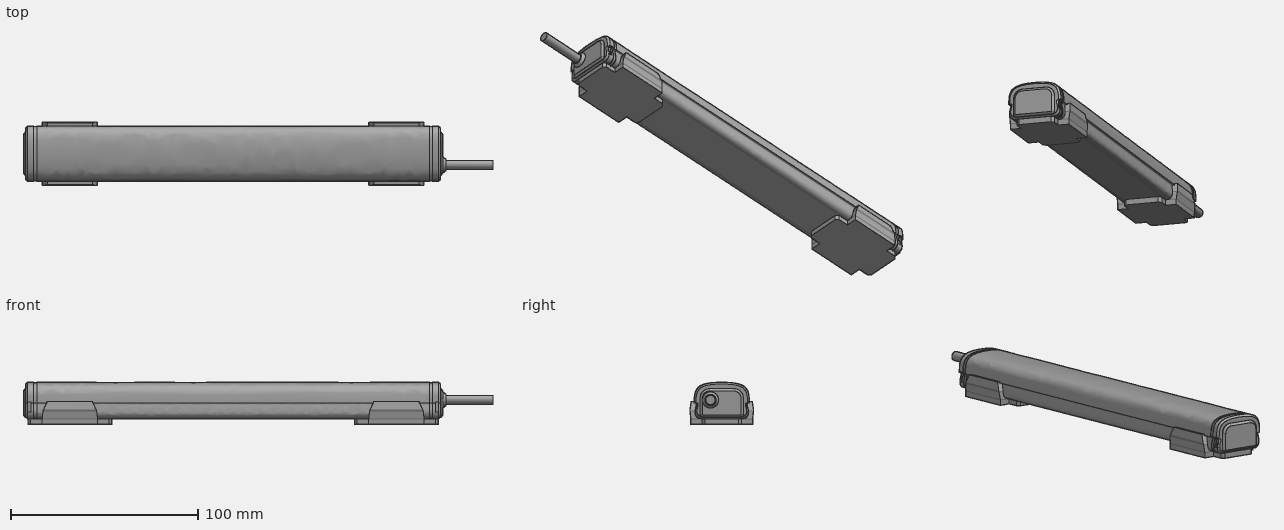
import cadquery as cq

CAP_LEFT_FACE = 1.3
CAP_RIGHT_FACE = 222.8
CAP_LENGTH = 4.3
SEAM_WIDTH = 1.8
SEAM_DEPTH = 0.3
CAP_CHAMFER = 1.0

LAMP_TOP = 22.5
LAMP_BOTTOM = 3.0
COVER_HALF_WIDTH = 14.8
COVER_BOTTOM = 11.5
SIDE_PULL_Z = 24.8
CROWN_PULL_Y = 11.0
SOLE_HALF_WIDTH = 11.0
CORNER_PULL_Y = 15.0
BULGE_PULL_Y = 16.0
BULGE_PULL_Z = 8.3
WAIST_PULL_Y = 11.3
WAIST_PULL_Z = 11.3

POCKET_LENGTH = 1.8
POCKET_BOTTOM = 6.5
POCKET_TOP = 12.0
POCKET_FLOOR_HALF_WIDTH = 13.3

PANEL_HEIGHT = 1.3
PANEL_HALF_WIDTH = 11.5
PANEL_TOP = 19.0
PANEL_BOTTOM = 3.8
PANEL_TOP_RADIUS = 5.0
PANEL_BOTTOM_RADIUS = 1.5
PANEL_BEVEL_WIDTH = 1.3
PANEL_BEVEL_DEPTH = 1.0

CABLE_END = 251.0
CABLE_Y = -6.0
CABLE_Z = 13.0
CABLE_RADIUS = 2.5
GLAND_LENGTH = 3.0
GLAND_BASE_RADIUS = 5.3
GLAND_TIP_RADIUS = 3.0

CLIP_CENTERS = (24.8, 199.2)
FOOT_LENGTH = 45.0
FOOT_HALF_WIDTH = 10.5
FOOT_CHAMFER = 1.5
CLIP_LENGTH = 29.5
CLIP_HALF_WIDTH = 16.5
RIDGE_HALF_WIDTH = 17.0
RIDGE_Z = 7.3
RIDGE_HEIGHT = 0.5
JAW_TOP_HALF_WIDTH = 16.3
JAW_TOP = 12.3
JAW_TOP_LENGTH = 24.0
RIDGE_LENGTH = 28.5


def lamp_outline(start_x, inset=0.0):
    """Closed lamp cross-section on the plane x = start_x.

    Its top, sides and underside are moved in by inset.
    """

    def mirrored(points):
        return [(-y, z) for y, z in reversed(points)]

    top = LAMP_TOP - inset
    bottom = LAMP_BOTTOM + inset
    lip = (COVER_HALF_WIDTH - inset, COVER_BOTTOM)
    sole_end = (SOLE_HALF_WIDTH - inset, bottom)

    base_side = [
        sole_end,
        (CORNER_PULL_Y - inset, bottom),
        (BULGE_PULL_Y - inset, BULGE_PULL_Z),
        (WAIST_PULL_Y - inset, WAIST_PULL_Z),
        lip,
    ]
    side_pull_z = SIDE_PULL_Z - inset
    crown_pull_z = (16 * top - COVER_BOTTOM - 5 * side_pull_z) / 10
    cover_half = [lip, (COVER_HALF_WIDTH - inset, side_pull_z), (CROWN_PULL_Y - inset, crown_pull_z)]
    return (
        cq.Workplane("YZ", origin=(start_x, 0, 0))
        .moveTo(-sole_end[0], bottom)
        .lineTo(*sole_end)
        .bezier(base_side)
        .bezier(cover_half + mirrored(cover_half))
        .bezier(mirrored(base_side))
        .close()
    )


def bevelled_end(face_x, direction):
    """Slice of the lamp that narrows to the end face; direction is the outward sign along X."""
    face = lamp_outline(face_x, CAP_CHAMFER).val()
    root = lamp_outline(face_x - direction * CAP_CHAMFER).val()
    return cq.Workplane(cq.Solid.makeLoft([face, root], True))


def seam_groove(start_x):
    """Ring of material removed where a cap meets the tube."""
    ring = lamp_outline(start_x).extrude(SEAM_WIDTH)
    return ring.cut(lamp_outline(start_x, SEAM_DEPTH).extrude(SEAM_WIDTH))


def side_pockets(start_x):
    """Blocks that sink a pocket into both sides of a cap, from start_x along +X."""
    depth = COVER_HALF_WIDTH - POCKET_FLOOR_HALF_WIDTH
    middle_y = (COVER_HALF_WIDTH + POCKET_FLOOR_HALF_WIDTH) / 2
    return (
        cq.Workplane("XY", origin=(start_x + POCKET_LENGTH / 2, 0, POCKET_BOTTOM))
        .pushPoints([(0, -middle_y), (0, middle_y)])
        .rect(POCKET_LENGTH, depth)
        .extrude(POCKET_TOP - POCKET_BOTTOM)
    )


def cap_panel(face_x, direction):
    """Tapered panel standing on a cap face; direction is the outward sign along X."""
    middle_z = (PANEL_TOP + PANEL_BOTTOM) / 2
    panel = (
        cq.Workplane("YZ", origin=(face_x, 0, middle_z))
        .rect(2 * PANEL_HALF_WIDTH, PANEL_TOP - PANEL_BOTTOM)
        .extrude(direction * PANEL_HEIGHT)
        .edges("|X and >Z")
        .fillet(PANEL_TOP_RADIUS)
        .edges("|X and <Z")
        .fillet(PANEL_BOTTOM_RADIUS)
    )
    return panel.faces(">X" if direction > 0 else "<X").chamfer(PANEL_BEVEL_DEPTH, PANEL_BEVEL_WIDTH)


def cable_with_gland():
    """Gland cone and round cable as one revolved shape along X."""
    gland_tip = CAP_RIGHT_FACE + GLAND_LENGTH
    return (
        cq.Workplane("XY", origin=(0, CABLE_Y, CABLE_Z))
        .moveTo(CAP_RIGHT_FACE, 0)
        .lineTo(CAP_RIGHT_FACE, GLAND_BASE_RADIUS)
        .lineTo(gland_tip, GLAND_TIP_RADIUS)
        .lineTo(gland_tip, CABLE_RADIUS)
        .lineTo(CABLE_END, CABLE_RADIUS)
        .lineTo(CABLE_END, 0)
        .close()
        .revolve(360, (0, 0, 0), (1, 0, 0))
    )


def make_lamp():
    tube_start = CAP_LEFT_FACE + CAP_CHAMFER
    tube_end = CAP_RIGHT_FACE - CAP_CHAMFER
    lamp = lamp_outline(tube_start).extrude(tube_end - tube_start)
    for groove_x in (CAP_LEFT_FACE + CAP_LENGTH, CAP_RIGHT_FACE - CAP_LENGTH - SEAM_WIDTH):
        lamp = lamp.cut(seam_groove(groove_x))
    for pocket_x in (tube_start, tube_end - POCKET_LENGTH):
        lamp = lamp.cut(side_pockets(pocket_x))
    for face_x, direction in ((CAP_LEFT_FACE, -1), (CAP_RIGHT_FACE, 1)):
        lamp = lamp.union(bevelled_end(face_x, direction))
        lamp = lamp.union(cap_panel(face_x, direction))
    return lamp.union(cable_with_gland())


def make_clip(center_x):
    """Clip with a chamfered foot plate and two jaws gripping the lower part of the lamp."""
    foot = (
        cq.Workplane("XY", origin=(center_x, 0, 0))
        .rect(FOOT_LENGTH, 2 * FOOT_HALF_WIDTH)
        .extrude(LAMP_BOTTOM)
        .edges("|Z")
        .chamfer(FOOT_CHAMFER)
    )
    right_side = [
        (CLIP_HALF_WIDTH, 0),
        (CLIP_HALF_WIDTH, LAMP_BOTTOM),
        (RIDGE_HALF_WIDTH, RIDGE_Z),
        (RIDGE_HALF_WIDTH, RIDGE_Z + RIDGE_HEIGHT),
        (JAW_TOP_HALF_WIDTH, JAW_TOP),
    ]
    left_side = [(-y, z) for y, z in reversed(right_side)]
    section = (
        cq.Workplane("YZ", origin=(center_x, 0, 0))
        .polyline(right_side + left_side)
        .close()
        .extrude(CLIP_LENGTH / 2, both=True)
    )
    right_end = [
        (CLIP_LENGTH / 2, 0),
        (CLIP_LENGTH / 2, LAMP_BOTTOM),
        (RIDGE_LENGTH / 2, RIDGE_Z),
        (JAW_TOP_LENGTH / 2, JAW_TOP),
    ]
    left_end = [(-x, z) for x, z in reversed(right_end)]
    tapered_ends = (
        cq.Workplane("XZ", origin=(center_x, 0, 0))
        .polyline(right_end + left_end)
        .close()
        .extrude(RIDGE_HALF_WIDTH, both=True)
    )
    lamp_space = lamp_outline(center_x - CLIP_LENGTH / 2).extrude(CLIP_LENGTH)
    return section.intersect(tapered_ends).union(foot).cut(lamp_space)


lamp = make_lamp()
clips = [make_clip(center_x) for center_x in CLIP_CENTERS]

result = cq.Compound.makeCompound([lamp.val(), *[clip.val() for clip in clips]])